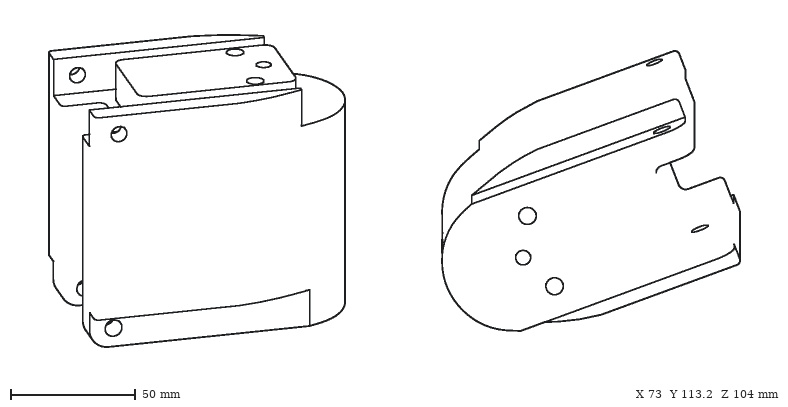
import cadquery as cq

width = 73.0
length = 113.2
height = 104.0
half_width = width / 2

nose_shoulder = (22.6, 102.3)
nose_cheek = (29.0, 89.2)
nose_flank = (34.1, 74.0)
flank_length = 60.3

channel_width = 55.0
step_height = 15.8
channel_floor = height - step_height
wall_length = 88.0

boss_width = 40.0
boss_start = 23.0
boss_length = 66.2
boss_corner_radius = 4.0

slot_width = 31.0
slot_depth = 18.0
slot_corner_radius = 3.0

base_width = 56.0
ear_heel_radius = 8.0
edge_radius = 2.0

cross_hole_y = 10.0
cross_hole_edge_distance = 8.0
upper_cross_hole_diameter = 6.5
lower_cross_hole_diameter = 7.0
center_hole_diameter = 6.0
center_hole_y = 80.2
side_hole_diameter = 7.0
side_hole_y = 72.5
side_hole_spacing = 31.0


def make_body():
    """Full-height body: straight flanks closed by the rounded nose."""
    right_points = [nose_shoulder, nose_cheek, nose_flank, (half_width, flank_length)]
    left_points = [(-x, y) for x, y in reversed(right_points)]
    body = (
        cq.Workplane("XY")
        .moveTo(-half_width, 0)
        .lineTo(-half_width, flank_length)
        .spline(left_points[1:] + [(0, length)] + right_points, includeCurrent=True)
        .lineTo(half_width, 0)
        .close()
        .extrude(height)
    )
    return body.edges("|Z and <Y").fillet(edge_radius)


def cut_base_sides(body):
    """Narrow the base so that both flanks overhang it."""
    keep = cq.Workplane("XY").box(base_width, length, step_height, centered=(True, False, False))
    upper = (
        cq.Workplane("XY", origin=(0, 0, step_height))
        .box(width, length, height - step_height, centered=(True, False, False))
    )
    return body.intersect(keep.union(upper))


def cut_slot(body):
    """Cut the back slot, round the ear heels, then round the rim of the slot."""
    slot = (
        cq.Workplane("XY")
        .rect(slot_width, 2 * slot_depth)
        .extrude(height)
        .edges("|Z and >Y")
        .fillet(slot_corner_radius)
    )
    slotted = body.cut(slot)
    heels = slotted.edges(cq.selectors.BoxSelector(
        (-half_width, -edge_radius, -edge_radius), (half_width, edge_radius, edge_radius)))
    slotted = heels.fillet(ear_heel_radius)
    rim_start = cq.selectors.NearestToPointSelector((0, slot_depth, 0))
    return slotted.edges(rim_start).fillet(edge_radius)


def cut_channel(body):
    """Clear the top down to the channel floor, leaving the two side walls."""
    channel = (
        cq.Workplane("XY", origin=(0, 0, channel_floor))
        .box(channel_width, length, step_height, centered=(True, False, False))
    )
    nose_clearance = (
        cq.Workplane("XY", origin=(0, wall_length, channel_floor))
        .box(width, length - wall_length, step_height, centered=(True, False, False))
    )
    return body.cut(channel).cut(nose_clearance)


def add_boss(body):
    """Add the rounded block standing on the channel floor."""
    boss = (
        cq.Workplane("XY", origin=(0, boss_start, channel_floor))
        .box(boss_width, boss_length, step_height, centered=(True, False, False))
        .edges("|Z")
        .fillet(boss_corner_radius)
    )
    return body.union(boss)


def drill_down(body, x, y, diameter):
    """Drill a vertical hole through the full height."""
    return body.cut(cq.Workplane("XY").center(x, y).circle(diameter / 2).extrude(height))


def drill_across(body, z, diameter):
    """Drill a pin hole through both sides, near the back face."""
    drill = (
        cq.Workplane("YZ")
        .center(cross_hole_y, z)
        .circle(diameter / 2)
        .extrude(half_width, both=True)
    )
    return body.cut(drill)


result = make_body()
result = cut_base_sides(result)
result = cut_slot(result)
result = cut_channel(result)
result = add_boss(result)

result = drill_down(result, 0, center_hole_y, center_hole_diameter)
for side in (-1, 1):
    result = drill_down(result, side * side_hole_spacing / 2, side_hole_y, side_hole_diameter)

result = drill_across(result, height - cross_hole_edge_distance, upper_cross_hole_diameter)
result = drill_across(result, cross_hole_edge_distance, lower_cross_hole_diameter)